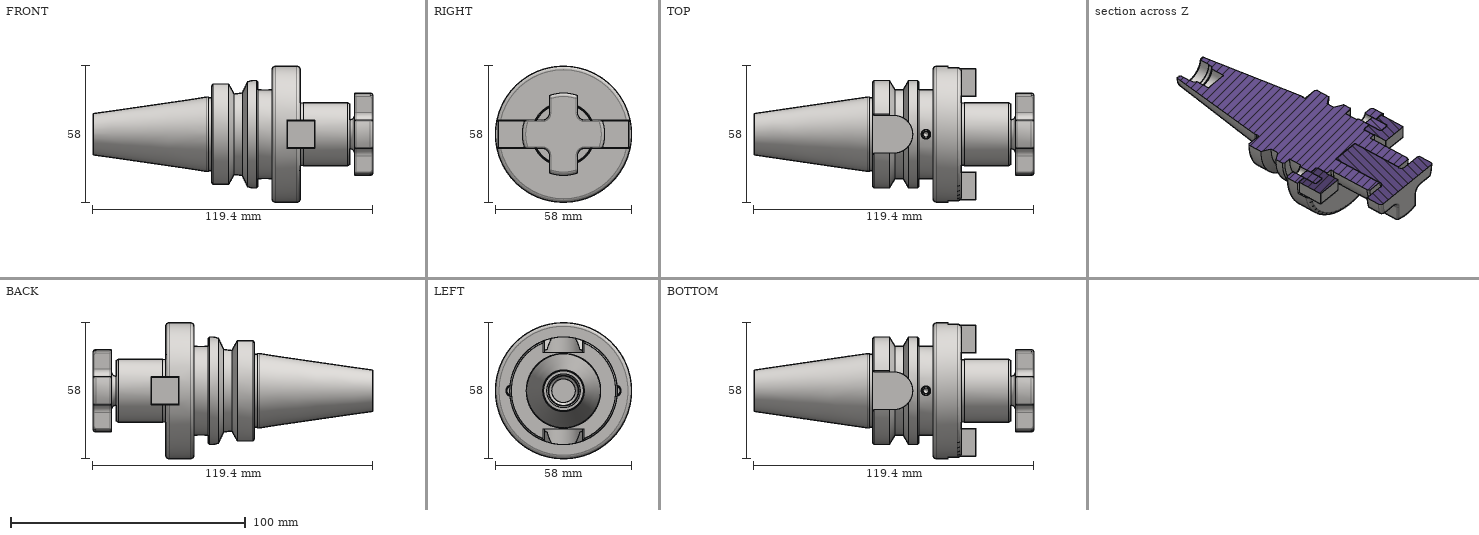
import cadquery as cq
import math

total_length = 119.4

taper_length = 48.4
taper_end_radius = 15.9
taper_ratio = 7 / 24
taper_tip_radius = taper_end_radius - taper_length * taper_ratio / 2
tip_chamfer = 0.4
taper_land = 1.0
taper_relief_radius = 15.6

gripper_start = 50.5
gripper_end = 70.3
gripper_radius = 22.9
gripper_chamfer = 0.7
groove_top_start = 57.8
groove_floor_start = 60.2
groove_floor_end = 63.6
groove_top_end = 65.9
neck_radius = 19.0

notch_half_width = 8.0
notch_floor = 16.2
notch_end = 67.7
notch_chamfer = 0.7

flange_start = 76.3
flange_end = 88.4
flange_radius = 29.0
flange_fillet = 1.5

pilot_radius = 13.5
pilot_end = 109.5
pilot_chamfer = 1.1
pilot_chamfer_depth = 0.6
relief_radius = 26.6 / 2
relief_length = 1.4

bore_mouth_radius = 7.2
bore_radius = 13.0 / 2
bore_step_radius = 12.5 / 2
bore_core_radius = 10.0 / 2
bore_depth = 5.3
bore_step_depth = 6.9
bore_cone_length = 1.2
bore_core_depth = 14.3

key_size = 11.9
key_start = 82.7
key_outer_y = 27.9
key_chamfer = 0.2
key_center_y = key_outer_y - key_size / 2

key_screw_radius = 4.2 / 2
key_screw_recess = 4.2
key_screw_end = key_start + key_size / 2
key_hole_mouth_radius = 5.0 / 2

set_screw_x = (gripper_end + flange_start) / 2
set_screw_radius = 4.0 / 2
set_screw_length = 6.0
set_screw_recess = 0.4
set_screw_chamfer = 0.2
set_screw_hex = 2.4
set_screw_hex_depth = 2.0
set_screw_bottom = neck_radius - set_screw_recess - set_screw_length

head_start = 111.4
head_radius = 17.5
head_length = total_length - head_start
arm_half_width = 6.0
arm_root_fillet = 3.2
head_front_fillet = 1.4
head_edge_fillet = 0.6
clamp_radius = 12.5 / 2
clamp_neck_fillet = 1.8
clamp_depth = 23.9

half_turns = (0, 180)


def about_axis(body, angle):
    """Turn a body about the X axis."""
    return body.rotate((0, 0, 0), (1, 0, 0), angle)


def cylinder_along_x(start, end, radius, y=0):
    return cq.Workplane("YZ", origin=(start, y, 0)).circle(radius).extrude(end - start)


def revolved(points):
    """Revolve a closed outline of (x, radius) points about the X axis."""
    return cq.Workplane("XY").polyline(points).close().revolve(360, (0, 0, 0), (1, 0, 0))


def holder_blank():
    land_end = taper_length + taper_land
    blank = revolved([
        (0, 0),
        (0, taper_tip_radius - tip_chamfer),
        (tip_chamfer, taper_tip_radius + tip_chamfer * taper_ratio / 2),
        (taper_length, taper_end_radius),
        (land_end, taper_end_radius),
        (land_end, taper_relief_radius),
        (gripper_start, taper_relief_radius),
        (gripper_start, gripper_radius - gripper_chamfer),
        (gripper_start + gripper_chamfer, gripper_radius),
        (groove_top_start, gripper_radius),
        (groove_floor_start, neck_radius),
        (groove_floor_end, neck_radius),
        (groove_top_end, gripper_radius),
        (gripper_end - gripper_chamfer, gripper_radius),
        (gripper_end, gripper_radius - gripper_chamfer),
        (gripper_end, neck_radius),
        (flange_start, neck_radius),
        (flange_start, 0),
    ])
    flange = cylinder_along_x(flange_start, flange_end, flange_radius).edges().fillet(flange_fillet)
    pilot = revolved([
        (flange_end, 0),
        (flange_end, relief_radius),
        (flange_end + relief_length, relief_radius),
        (flange_end + relief_length, pilot_radius),
        (pilot_end - pilot_chamfer, pilot_radius),
        (pilot_end, pilot_radius - pilot_chamfer_depth),
        (pilot_end, 0),
    ])
    return blank.union(flange).union(pilot)


def taper_bore():
    mouth_chamfer = bore_mouth_radius - bore_radius
    return revolved([
        (0, 0),
        (0, bore_mouth_radius),
        (mouth_chamfer, bore_radius),
        (bore_depth, bore_radius),
        (bore_depth, bore_step_radius),
        (bore_step_depth, bore_step_radius),
        (bore_step_depth + bore_cone_length, bore_core_radius),
        (bore_core_depth, bore_core_radius),
        (bore_core_depth, 0),
    ])


def drive_notch():
    """Round-ended notch with chamfers on its entry corners and on the outer edge of its +Y wall."""
    arc_center = notch_end - notch_half_width
    entry_half_width = notch_half_width + notch_chamfer
    height = gripper_radius - notch_floor
    notch = (
        cq.Workplane("XY", origin=(0, 0, notch_floor))
        .moveTo(gripper_start, -entry_half_width)
        .lineTo(gripper_start + notch_chamfer, -notch_half_width)
        .lineTo(arc_center, -notch_half_width)
        .threePointArc((notch_end, 0), (arc_center, notch_half_width))
        .lineTo(gripper_start + notch_chamfer, notch_half_width)
        .lineTo(gripper_start, entry_half_width)
        .close()
        .extrude(height)
    )
    edge_height = math.sqrt(gripper_radius**2 - entry_half_width**2)
    edge_chamfer = (
        cq.Workplane("YZ", origin=(gripper_start, 0, 0))
        .moveTo(notch_half_width, edge_height - notch_chamfer)
        .lineTo(entry_half_width, edge_height)
        .lineTo(entry_half_width, gripper_radius)
        .lineTo(notch_half_width, gripper_radius)
        .close()
        .extrude(groove_top_start - gripper_start)
    )
    return notch.union(edge_chamfer)


def key_slot():
    """Slot open to the flange front and rim, with its inner end against the key."""
    slot_depth = flange_end - key_start
    inner_y = key_outer_y - key_size
    return cq.Workplane("XY").box(
        slot_depth, flange_radius - inner_y, key_size, centered=(False, False, True)
    ).translate((key_start, inner_y, 0))


def key_screw_hole():
    mouth_depth = key_hole_mouth_radius - key_screw_radius
    hole = cylinder_along_x(flange_start, key_start, key_screw_radius, key_center_y)
    mouth = cq.Workplane("XY").add(
        cq.Solid.makeCone(
            key_hole_mouth_radius,
            key_screw_radius,
            mouth_depth,
            cq.Vector(flange_start, key_center_y, 0),
            cq.Vector(1, 0, 0),
        )
    )
    return hole.union(mouth)


def set_screw_hole():
    return (
        cq.Workplane("XY", origin=(set_screw_x, 0, set_screw_bottom))
        .circle(set_screw_radius)
        .extrude(gripper_radius - set_screw_bottom)
    )


def make_holder():
    holder = holder_blank().cut(taper_bore())
    holder = holder.cut(cylinder_along_x(pilot_end - clamp_depth, pilot_end, clamp_radius))
    for angle in half_turns:
        for pocket in (drive_notch(), key_slot(), key_screw_hole(), set_screw_hole()):
            holder = holder.cut(about_axis(pocket, angle))
    return holder


def make_key():
    key = cq.Workplane("XY").box(key_size, key_size, key_size).edges().chamfer(key_chamfer)
    key = key.translate((key_start + key_size / 2, key_center_y, 0))
    return key.cut(make_key_screw())


def make_key_screw():
    return cylinder_along_x(flange_start + key_screw_recess, key_screw_end, key_screw_radius, key_center_y)


def make_set_screw():
    """Headless screw with a hexagon socket that ends in a drill point."""
    top = set_screw_bottom + set_screw_length
    corner_diameter = set_screw_hex / math.cos(math.pi / 6)
    socket_floor = top - set_screw_hex_depth
    point_radius = set_screw_hex / 2
    screw = (
        cq.Workplane("XY", origin=(set_screw_x, 0, set_screw_bottom))
        .circle(set_screw_radius)
        .extrude(set_screw_length)
        .faces(">Z")
        .chamfer(set_screw_chamfer)
    )
    socket = (
        cq.Workplane("XY", origin=(set_screw_x, 0, socket_floor))
        .polygon(6, corner_diameter)
        .extrude(set_screw_hex_depth)
    )
    point = cq.Workplane("XY").add(
        cq.Solid.makeCone(
            point_radius,
            0,
            point_radius,
            cq.Vector(set_screw_x, 0, socket_floor),
            cq.Vector(0, 0, -1),
        )
    )
    return screw.cut(socket).cut(point)


def clamp_head():
    """Cross of four arms with round ends, filleted between the arms and around their edges."""
    cross = cq.Workplane("YZ", origin=(head_start, 0, 0))
    cross = cross.rect(2 * head_radius, 2 * arm_half_width).extrude(head_length)
    cross = cross.union(about_axis(cross, 90))
    reach = arm_half_width + arm_root_fillet
    around_roots = cq.selectors.BoxSelector((head_start, -reach, -reach), (total_length, reach, reach))
    cross = cross.edges("|X").edges(around_roots).fillet(arm_root_fillet)
    disc = cylinder_along_x(head_start, total_length, head_radius)
    disc = disc.faces(">X").edges().fillet(head_front_fillet)
    flat_faces = cross.intersect(disc).faces("<X or >X or #X")
    return flat_faces.edges().fillet(head_edge_fillet)


def make_clamp_screw():
    """Shank that flares into the head through a concave fillet."""
    flare_start = head_start - clamp_neck_fillet
    flare_radius = clamp_radius + clamp_neck_fillet
    shank = (
        cq.Workplane("XY")
        .moveTo(pilot_end - clamp_depth, 0)
        .lineTo(pilot_end - clamp_depth, clamp_radius)
        .lineTo(flare_start, clamp_radius)
        .radiusArc((head_start, flare_radius), -clamp_neck_fillet)
        .lineTo(head_start, 0)
        .close()
        .revolve(360, (0, 0, 0), (1, 0, 0))
    )
    return shank.union(clamp_head())


holder = make_holder()
keys = [about_axis(make_key(), angle) for angle in half_turns]
key_screws = [about_axis(make_key_screw(), angle) for angle in half_turns]
set_screws = [about_axis(make_set_screw(), angle) for angle in half_turns]
clamp_screw = make_clamp_screw()

result = cq.Compound.makeCompound([
    body.val() for body in [holder, *keys, *key_screws, *set_screws, clamp_screw]
])